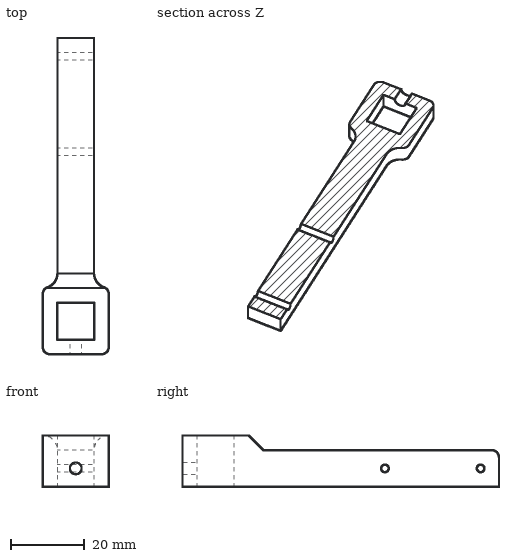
import cadquery as cq
import math

total_length = 86.0
head_size = 18.0
head_height = 14.0
head_corner_radius = 2.0
bar_size = 10.0
tip_radius = 2.0
screw_hole_diameter = 3.2
pin_hole_diameter = 2.0
pin_distances_from_tip = (5.0, 31.0)

half_head = head_size / 2
half_bar = bar_size / 2
wall = (head_size - bar_size) / 2
neck_radius = half_head - half_bar
neck_end = head_size + neck_radius
ramp_top = head_size
ramp_bottom = ramp_top + head_height - bar_size

center_distance = neck_radius + head_corner_radius
corner_center_x = half_head - head_corner_radius
corner_center_y = neck_end - math.sqrt(center_distance**2 - head_corner_radius**2)
neck_share = neck_radius / center_distance
blend_x = half_head + (corner_center_x - half_head) * neck_share
blend_y = neck_end + (corner_center_y - neck_end) * neck_share


def make_plan():
    """Plan outline of head, neck and arm, extruded to the full head height."""
    front_tangent_x = half_head - head_corner_radius
    return (
        cq.Workplane("XY")
        .moveTo(-front_tangent_x, 0)
        .lineTo(front_tangent_x, 0)
        .radiusArc((half_head, head_corner_radius), -head_corner_radius)
        .lineTo(half_head, corner_center_y)
        .radiusArc((blend_x, blend_y), -head_corner_radius)
        .radiusArc((half_bar, neck_end), neck_radius)
        .lineTo(half_bar, total_length)
        .lineTo(-half_bar, total_length)
        .lineTo(-half_bar, neck_end)
        .radiusArc((-blend_x, blend_y), neck_radius)
        .radiusArc((-half_head, corner_center_y), -head_corner_radius)
        .lineTo(-half_head, head_corner_radius)
        .radiusArc((-front_tangent_x, 0), -head_corner_radius)
        .close()
        .extrude(head_height)
    )


def make_side_profile():
    """Side outline with the tall head, the ramp and the lower arm, across the head width."""
    return (
        cq.Workplane("YZ")
        .moveTo(0, 0)
        .lineTo(total_length, 0)
        .lineTo(total_length, bar_size - tip_radius)
        .radiusArc((total_length - tip_radius, bar_size), -tip_radius)
        .lineTo(ramp_bottom, bar_size)
        .lineTo(ramp_top, head_height)
        .lineTo(0, head_height)
        .close()
        .extrude(half_head, both=True)
    )


def make_window():
    """Square opening through the head from top to bottom."""
    return (
        cq.Workplane("XY")
        .center(0, half_head)
        .rect(bar_size, bar_size)
        .extrude(head_height)
    )


def make_screw_hole():
    """Round hole through the front wall into the window, level with the middle of the arm."""
    direction = cq.Vector(0, 1, 0)
    start = cq.Vector(0, 0, half_bar)
    depth = wall + half_bar
    return cq.Workplane(cq.Solid.makeCylinder(screw_hole_diameter / 2, depth, start, direction))


def make_pin_hole(distance_from_tip):
    """Round hole across the arm at half its height."""
    return (
        cq.Workplane("YZ")
        .center(total_length - distance_from_tip, half_bar)
        .circle(pin_hole_diameter / 2)
        .extrude(half_bar, both=True)
    )


result = make_plan().intersect(make_side_profile())
result = result.cut(make_window()).cut(make_screw_hole())
for pin_distance in pin_distances_from_tip:
    result = result.cut(make_pin_hole(pin_distance))